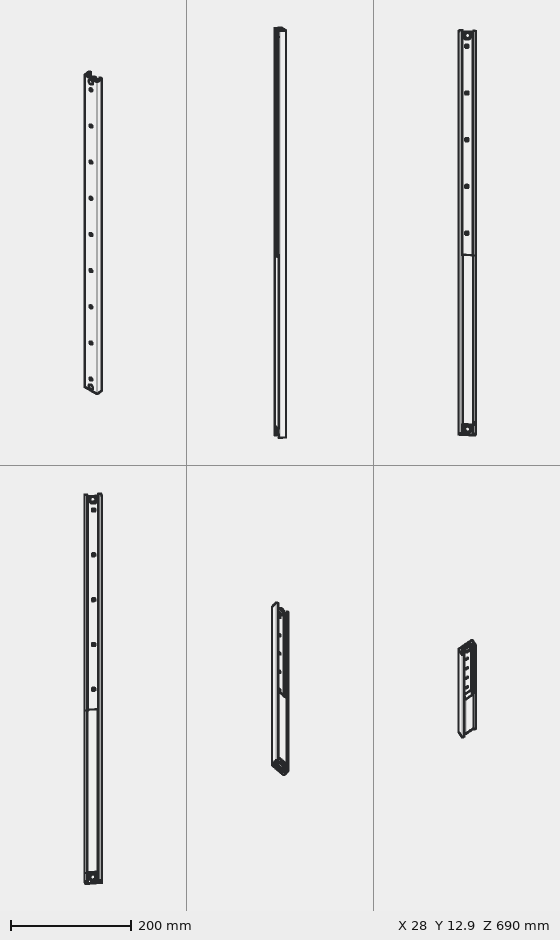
import cadquery as cq

total_depth = 12.9

rail_length = 690.0
rail_width = 28.0
rail_depth = 12.3
web_thickness = 4.0
channel_width = 19.0
rail_fillet = 1.0

hole_count = 9
hole_pitch = 80.0
hole_diameter = 5.5

stop_end_distance = 8.0
stop_shank_diameter = 9.5
stop_flange_diameter = 12.0
stop_flange_height = 1.5
stop_cap_diameter = 10.0
stop_cap_height = 5.0

slider_length = 290.0
slider_width = 17.0
slider_end_distance = 15.5
slider_floor_gap = 1.0
slider_fillet = 0.9

race_diameter = 4.0
race_height = 8.8

front_y = -total_depth / 2
floor_y = front_y + web_thickness
rail_back_y = front_y + rail_depth
slider_front_y = floor_y + slider_floor_gap
slider_back_y = front_y + total_depth
race_y = front_y + race_height
race_x = (channel_width + slider_width) / 4
rail_bottom_z = -rail_length / 2
slider_bottom_z = rail_bottom_z + slider_end_distance
first_hole_z = -hole_pitch * (hole_count - 1) / 2
stop_z = rail_length / 2 - stop_end_distance
SIDES = (-1, 1)


def bar(width, y_start, y_end, z_start, length):
    """A rectangular bar along Z, centred across X."""
    section = cq.Workplane("XY", origin=(0, (y_start + y_end) / 2, z_start))
    return section.rect(width, y_end - y_start).extrude(length)


def disc(diameter, y_start, height, z):
    """A round disc on the rail's centre line, rising toward +Y."""
    return cq.Workplane("XZ", origin=(0, y_start, z)).circle(diameter / 2).extrude(-height)


def race_rod(side, z_start, length):
    """A round rod along Z, centred between a channel wall and the slider."""
    section = cq.Workplane("XY", origin=(side * race_x, race_y, z_start))
    return section.circle(race_diameter / 2).extrude(length)


def make_rail():
    rail = bar(rail_width, front_y, rail_back_y, rail_bottom_z, rail_length)
    rail = rail.cut(bar(channel_width, floor_y, rail_back_y, rail_bottom_z, rail_length))

    rail = rail.edges("(|Z and <Y) or (|Z and >Y)").fillet(rail_fillet)

    for side in SIDES:
        rail = rail.cut(race_rod(side, rail_bottom_z, rail_length))
        rail = rail.cut(disc(stop_shank_diameter, front_y, web_thickness, side * stop_z))
    for i in range(hole_count):
        rail = rail.cut(disc(hole_diameter, front_y, web_thickness, first_hole_z + i * hole_pitch))
    return rail


def make_slider():
    slider = bar(slider_width, slider_front_y, slider_back_y, slider_bottom_z, slider_length)
    slider = slider.edges("|Z").fillet(slider_fillet)
    for side in SIDES:
        slider = slider.cut(race_rod(side, slider_bottom_z, slider_length))
    return slider


def make_stop(z):
    shank = disc(stop_shank_diameter, front_y, web_thickness, z)
    flange = disc(stop_flange_diameter, floor_y, stop_flange_height, z)
    cap = disc(stop_cap_diameter, floor_y + stop_flange_height, stop_cap_height, z)
    return shank.union(flange).union(cap)


def make_bearing_row(side):
    return race_rod(side, slider_bottom_z, slider_length)


rail = make_rail()
slider = make_slider()
stops = [make_stop(side * stop_z) for side in SIDES]
bearing_rows = [make_bearing_row(side) for side in SIDES]

bodies = [rail, slider, *stops, *bearing_rows]
result = cq.Compound.makeCompound([body.val() for body in bodies])